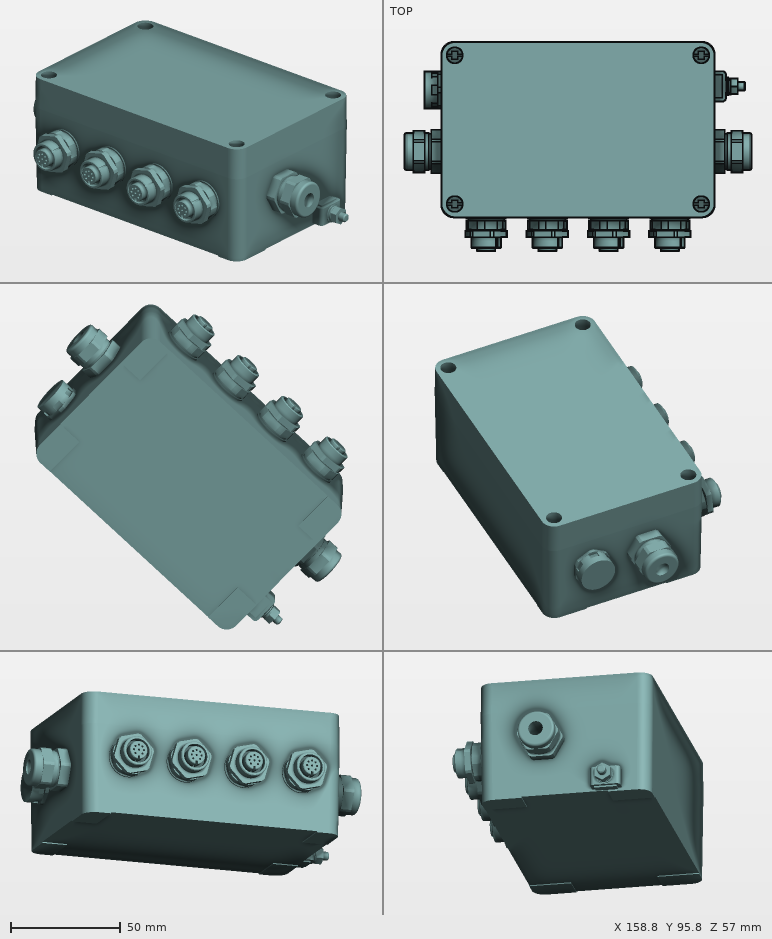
import cadquery as cq
import math

BOX_LENGTH = 124.7
BOX_WIDTH = 80.0
BOX_HEIGHT = 57.0
LID_HEIGHT = 15.0
DRAFT_ANGLE = 0.75
CORNER_RADIUS = 6.0
BASE_HEIGHT = BOX_HEIGHT - LID_HEIGHT
JOINT_GROWTH = 2 * LID_HEIGHT * math.tan(math.radians(DRAFT_ANGLE))
JOINT_LENGTH = BOX_LENGTH + JOINT_GROWTH
JOINT_WIDTH = BOX_WIDTH + JOINT_GROWTH

FOOT_LENGTH = 12.0
FOOT_WIDTH = 19.5
FOOT_HEIGHT = 0.5

SCREW_INSET = 6.0
SCREW_HOLE_DIAMETER = 7.3
SCREW_HOLE_DEPTH = 8.0
DRIVE_DEPTH = 1.5
DRIVE_SLOT_WIDTH = 1.1
DRIVE_CROSS_SPAN = 3.6
DRIVE_CROSS_ARM = 2.6

FITTING_HEIGHT = 26.8
SINK = 1.0
CONNECTOR_COUNT = 4
CONNECTOR_PITCH = 28.0
GLAND_Y = -10.0
PLUG_Y = 18.1
TERMINAL_Y = 19.8
TERMINAL_Z = 5.9
TERMINAL_X = 62.2

GLAND_BASE_FLATS = 18.0
GLAND_BASE_CORNERS = 20.0
GLAND_BASE_END = 4.8
GLAND_NECK_DIAMETER = 16.4
GLAND_NECK_END = 5.8
GLAND_CAP_DIAMETER = 17.15
GLAND_HEX_START = 7.8
GLAND_HEX_END = 12.9
GLAND_HEX_FLATS = 17.3
GLAND_HEX_CORNERS = 19.2
GLAND_TIP = 17.025
GLAND_TIP_ROUND = 1.2
GLAND_BORE_DIAMETER = 6.8
GLAND_BORE_FLOOR = 2.0

PLUG_FLANGE_FLATS = 17.0
PLUG_FLANGE_CORNERS = 18.3
PLUG_FLANGE_END = 1.7
PLUG_CAP_DIAMETER = 17.0
PLUG_TIP = 7.9
PLUG_NOTCH_COUNT = 6
PLUG_NOTCH_WIDTH = 4.3
PLUG_NOTCH_DEPTH = 1.0
PLUG_NOTCH_END = 4.4

NUT_FLATS = 17.1
NUT_CORNERS = 18.1
NUT_VERTEX_ANGLE = 45.0
COLLAR_END = 0.7
NUT_GROOVE_DIAMETER = 16.6
NUT_START = 1.7
NUT_END = 5.7
BARREL_DIAMETER = 13.7
FLANGE_START = 6.3
FLANGE_END = 9.1
FLANGE_FLATS = 17.5
FLANGE_CORNERS = 19.4
FLANGE_VERTEX_ANGLE = 14.0
BARREL_END = 14.2
BARREL_CHAMFER = 0.35
MARK_GROOVE_WIDTH = 0.9
MARK_GROOVE_DEPTH = 0.5
MARK_GROOVE_ANGLE = 43.0
SOCKET_DIAMETER = 11.3
SOCKET_DEPTH = 4.0
INSERT_DIAMETER = 8.5
INSERT_TIP = 15.63
INSERT_CHAMFER = 0.3
KEYWAY_WIDTH = 1.1
KEYWAY_INNER_RADIUS = 2.7
CONTACT_COUNT = 7
CONTACT_PITCH_ANGLE = 45.0
CONTACT_CIRCLE_RADIUS = 2.4
CONTACT_DIAMETER = 1.0
CONTACT_DEPTH = 2.0

BLOCK_WIDTH = 14.0
BLOCK_HEIGHT = 8.7
BLOCK_END = 5.5
BLOCK_CORNER_RADIUS = 1.8
PAD_WIDTH = 10.4
PAD_HEIGHT = 10.2
PAD_END = 3.8
COLUMN_DIAMETER = 5.5
WASHER_DIAMETER = 8.4
WASHER_START = 6.0
WASHER_END = 6.4
LOCK_WASHER_DIAMETER = 7.6
LOCK_WASHER_START = 6.8
STUD_NUT_START = 7.7
STUD_NUT_END = 10.9
STUD_NUT_FLATS = 7.2
STUD_NUT_CORNERS = 8.2
STUD_DIAMETER = 4.0
STUD_TIP = 14.3
STUD_CHAMFER = 0.5


def disc(diameter, start, end):
    """Cylinder on the local Z axis between two heights."""
    return cq.Workplane("XY").workplane(offset=start).circle(diameter / 2).extrude(end - start)


def block(x_size, y_size, start, end):
    """Rectangular bar centred on the local Z axis between two heights."""
    return cq.Workplane("XY").workplane(offset=start).rect(x_size, y_size).extrude(end - start)


def trimmed_hexagon(flats, corners, start, end, vertex_angle):
    """Hexagonal prism whose corners are turned down to a round diameter."""
    point_diameter = flats / math.cos(math.pi / 6)
    prism = (
        cq.Workplane("XY")
        .workplane(offset=start)
        .polygon(6, point_diameter)
        .extrude(end - start)
        .rotate((0, 0, 0), (0, 0, 1), vertex_angle)
    )
    return prism.intersect(disc(corners, start, end))


def place(fitting, origin, across, outward):
    """Move a fitting built along local Z so that it points outward from a wall."""
    return cq.Workplane(fitting.val().moved(cq.Location(cq.Plane(origin, across, outward))))


def rounded_outline(shrink):
    """Plan outline of the joint, made smaller by the given amount on both axes."""
    outline = cq.Sketch().rect(JOINT_LENGTH - shrink, JOINT_WIDTH - shrink)
    return outline.vertices().fillet(CORNER_RADIUS)


def drafted_block(start, height):
    """Block that narrows away from the joint and keeps its corner radius."""
    shrink = 2 * abs(height) * math.tan(math.radians(DRAFT_ANGLE))
    joint_end = cq.Location(cq.Vector(0, 0, start))
    narrow_end = cq.Location(cq.Vector(0, 0, start + height))
    sections = (rounded_outline(0).moved(joint_end), rounded_outline(shrink).moved(narrow_end))
    return cq.Workplane("XY").placeSketch(*sections).loft(ruled=True)


def make_enclosure():
    """Lid and base leaning inward from their joint, standing on four corner feet."""
    lid = drafted_block(BASE_HEIGHT, LID_HEIGHT)
    base = drafted_block(BASE_HEIGHT, -BASE_HEIGHT)
    base_shrink = 2 * BASE_HEIGHT * math.tan(math.radians(DRAFT_ANGLE))
    gap_length = JOINT_LENGTH - base_shrink - 2 * FOOT_LENGTH
    gap_width = JOINT_WIDTH - base_shrink - 2 * FOOT_WIDTH
    body = lid.union(base)
    body = body.cut(block(gap_length, 2 * BOX_WIDTH, 0, FOOT_HEIGHT))
    return body.cut(block(2 * BOX_LENGTH, gap_width, 0, FOOT_HEIGHT))


def make_screw_pocket():
    """Deep lid hole with the slotted cross recess of the screw at its floor."""
    floor = BOX_HEIGHT - SCREW_HOLE_DEPTH
    drive_floor = floor - DRIVE_DEPTH
    hole = disc(SCREW_HOLE_DIAMETER, floor, BOX_HEIGHT)
    slot = block(SCREW_HOLE_DIAMETER, DRIVE_SLOT_WIDTH, drive_floor, floor)
    slot = slot.intersect(disc(SCREW_HOLE_DIAMETER, drive_floor, floor))
    cross = block(DRIVE_CROSS_ARM, DRIVE_CROSS_SPAN, drive_floor, floor)
    return hole.union(slot).union(cross)


def make_gland():
    """Cable gland: hexagonal body, neck and round cap with a hexagonal band."""
    base = trimmed_hexagon(GLAND_BASE_FLATS, GLAND_BASE_CORNERS, -SINK, GLAND_BASE_END, 0)
    neck = disc(GLAND_NECK_DIAMETER, 0, GLAND_NECK_END)
    cap = disc(GLAND_CAP_DIAMETER, GLAND_NECK_END, GLAND_TIP).faces(">Z").edges().fillet(GLAND_TIP_ROUND)
    band = trimmed_hexagon(GLAND_HEX_FLATS, GLAND_HEX_CORNERS, GLAND_HEX_START, GLAND_HEX_END, 0)
    bore = disc(GLAND_BORE_DIAMETER, GLAND_BORE_FLOOR, GLAND_TIP)
    return base.union(neck).union(cap).union(band).cut(bore)


def make_plug():
    """Vent plug: hexagonal flange under a round cap with notches at its back."""
    flange = trimmed_hexagon(PLUG_FLANGE_FLATS, PLUG_FLANGE_CORNERS, -SINK, PLUG_FLANGE_END, 90)
    cap = disc(PLUG_CAP_DIAMETER, PLUG_FLANGE_END, PLUG_TIP)
    notch_radius = (PLUG_CAP_DIAMETER - PLUG_NOTCH_DEPTH) / 2
    for index in range(PLUG_NOTCH_COUNT):
        notch = block(PLUG_NOTCH_WIDTH, PLUG_NOTCH_DEPTH, PLUG_FLANGE_END, PLUG_NOTCH_END)
        notch = notch.translate((0, notch_radius, 0))
        cap = cap.cut(notch.rotate((0, 0, 0), (0, 0, 1), index * 360 / PLUG_NOTCH_COUNT))
    return flange.union(cap)


def make_insert():
    """Contact carrier with a keyway, a ring of contact holes and a central one."""
    start = BARREL_END - SOCKET_DEPTH
    insert = disc(INSERT_DIAMETER, start - SINK, INSERT_TIP).faces(">Z").edges().chamfer(INSERT_CHAMFER)
    keyway_length = INSERT_DIAMETER / 2 - KEYWAY_INNER_RADIUS
    keyway = block(KEYWAY_WIDTH, keyway_length, start, INSERT_TIP)
    insert = insert.cut(keyway.translate((0, -KEYWAY_INNER_RADIUS - keyway_length / 2, 0)))
    contact_span = CONTACT_PITCH_ANGLE * (CONTACT_COUNT - 1)
    contacts = (
        cq.Workplane("XY")
        .workplane(offset=INSERT_TIP)
        .polarArray(CONTACT_CIRCLE_RADIUS, -CONTACT_PITCH_ANGLE, contact_span, CONTACT_COUNT, fill=True)
        .circle(CONTACT_DIAMETER / 2)
        .extrude(-CONTACT_DEPTH)
    )
    centre_contact = disc(CONTACT_DIAMETER, INSERT_TIP - CONTACT_DEPTH, INSERT_TIP)
    return insert.cut(contacts).cut(centre_contact)


def make_connector():
    """Panel connector: collar, nut, hexagonal flange and socketed, marked barrel."""
    collar = disc(NUT_CORNERS, -SINK, COLLAR_END)
    groove = disc(NUT_GROOVE_DIAMETER, 0, NUT_START)
    nut = trimmed_hexagon(NUT_FLATS, NUT_CORNERS, NUT_START, NUT_END, NUT_VERTEX_ANGLE)
    barrel = disc(BARREL_DIAMETER, 0, BARREL_END).faces(">Z").edges().chamfer(BARREL_CHAMFER)
    flange = trimmed_hexagon(
        FLANGE_FLATS, FLANGE_CORNERS, FLANGE_START, FLANGE_END, FLANGE_VERTEX_ANGLE
    )
    socket = disc(SOCKET_DIAMETER, BARREL_END - SOCKET_DEPTH, BARREL_END)
    mark_radius = (BARREL_DIAMETER - MARK_GROOVE_DEPTH) / 2
    mark_groove = block(MARK_GROOVE_DEPTH, MARK_GROOVE_WIDTH, FLANGE_END, BARREL_END)
    mark_groove = mark_groove.translate((mark_radius, 0, 0)).rotate((0, 0, 0), (0, 0, 1), MARK_GROOVE_ANGLE)
    shell = collar.union(groove).union(nut).union(barrel).union(flange)
    return shell.cut(socket).cut(mark_groove).union(make_insert())


def make_terminal():
    """Earth terminal: rounded block with a pad, and a stud with washers and nut."""
    rounded = (
        block(BLOCK_WIDTH, BLOCK_HEIGHT, -SINK, BLOCK_END)
        .faces(">Z")
        .edges("|Y")
        .fillet(BLOCK_CORNER_RADIUS)
    )
    pad = block(PAD_WIDTH, PAD_HEIGHT, -SINK, PAD_END)
    column = disc(COLUMN_DIAMETER, 0, STUD_NUT_START)
    washer = disc(WASHER_DIAMETER, WASHER_START, WASHER_END)
    lock_washer = disc(LOCK_WASHER_DIAMETER, LOCK_WASHER_START, STUD_NUT_START)
    nut = trimmed_hexagon(STUD_NUT_FLATS, STUD_NUT_CORNERS, STUD_NUT_START, STUD_NUT_END, 90)
    stud = disc(STUD_DIAMETER, 0, STUD_TIP).faces(">Z").edges().chamfer(STUD_CHAMFER)
    return rounded.union(pad).union(column).union(washer).union(lock_washer).union(nut).union(stud)


LEFT = {"across": (0, -1, 0), "outward": (-1, 0, 0)}
RIGHT = {"across": (0, 1, 0), "outward": (1, 0, 0)}
FRONT = {"across": (1, 0, 0), "outward": (0, -1, 0)}
HALF_LENGTH = BOX_LENGTH / 2
HALF_WIDTH = BOX_WIDTH / 2

result = make_enclosure()

for x_side in (-1, 1):
    for y_side in (-1, 1):
        screw_x = x_side * (HALF_LENGTH - SCREW_INSET)
        screw_y = y_side * (HALF_WIDTH - SCREW_INSET)
        result = result.cut(make_screw_pocket().translate((screw_x, screw_y, 0)))

for side, direction in ((-1, LEFT), (1, RIGHT)):
    gland_origin = (side * HALF_LENGTH, GLAND_Y, FITTING_HEIGHT)
    result = result.union(place(make_gland(), gland_origin, **direction))

result = result.union(place(make_plug(), (-HALF_LENGTH, PLUG_Y, FITTING_HEIGHT), **LEFT))
result = result.union(place(make_terminal(), (TERMINAL_X, TERMINAL_Y, TERMINAL_Z), **RIGHT))

for index in range(CONNECTOR_COUNT):
    connector_x = (index - (CONNECTOR_COUNT - 1) / 2) * CONNECTOR_PITCH
    connector_origin = (connector_x, -HALF_WIDTH, FITTING_HEIGHT)
    result = result.union(place(make_connector(), connector_origin, **FRONT))